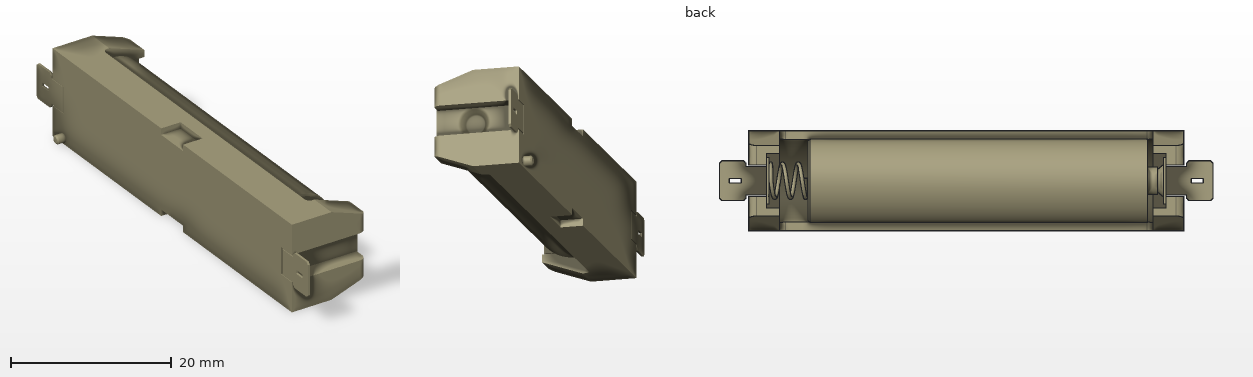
import cadquery as cq
import math


TOTAL_LENGTH = 61.5
LENGTH = 54.25
WIDTH = 12.5
HEIGHT = 11.15
TOP_WIDTH = 8.8
SLOPE_START_Y = 5.9
RIM_Y = 4.9
RIM_CORNER_RADIUS = 0.75
END_WALL = 3.9
END_EDGE_RADIUS = 1.0

OUTER_SLOT_WIDTH = 3.9
INNER_SLOT_WIDTH = 6.75

NOTCH_LENGTH = 5.0
NOTCH_DEPTH = 0.9
NOTCH_HEIGHT = 2.9

PEG_RADIUS = 0.6
PEG_LENGTH = 1.15
PEG_CHAMFER = 0.2
PEG_END_OFFSET = 2.4
PEG_SIDE_OFFSET = 0.85

BATTERY_RADIUS = 5.2
BATTERY_AXIS_Y = 5.8
BATTERY_CHAMFER = 0.3
BATTERY_MIN_X = -22.6
BATTERY_MAX_X = 19.75
NUB_RADIUS = 1.7

SHEET = 0.3
BEND_RADIUS = 0.5
PLATE_BACK_OFFSET = 2.5
PLATE_WIDTH = 5.85
PLATE_ABOVE_HOUSING = 0.1
NECK_WIDTH = 3.55
TAB_WIDTH = 5.0
TAB_LENGTH = 3.3
TAB_CORNER = 0.3
TAB_HOLE_LENGTH = 1.5
TAB_HOLE_WIDTH = 0.55
TAB_HOLE_OFFSET = 1.95
DISH_MOUTH_RADIUS = 1.9
DISH_FLOOR_RADIUS = 1.2
DISH_MOUTH_FILLET = 0.5
DISH_FLOOR_FILLET = 0.25
DISH_DEPTH = 0.8

CONTACT_AXIS_Y = 6.4
SPRING_OUTER_RADIUS = 2.35
WIRE_RADIUS = 0.25
SPRING_PITCH = 1.95
SPRING_START_ANGLE = -80.0
SPRING_EASE = 0.3
CLOSING_ANGLE = 0.6 * math.pi
SPRING_POINTS = 120

END_X = LENGTH / 2
WALL_INNER_X = END_X - END_WALL
PLATE_BACK_X = END_X - PLATE_BACK_OFFSET
PLATE_FRONT_X = PLATE_BACK_X + SHEET
FLOOR_Y = BATTERY_AXIS_Y - BATTERY_RADIUS


def box(x0, x1, y0, y1, width):
    """Box between two X and two Y values, centred on z = 0."""
    return cq.Workplane("XY").box(x1 - x0, y1 - y0, width).translate(((x0 + x1) / 2, (y0 + y1) / 2, 0))


def rod(x0, x1, y, radius):
    """Cylinder along X from x0 to x1 at height y."""
    return cq.Workplane("YZ", origin=(x0, y, 0)).circle(radius).extrude(x1 - x0)


def mirrored(body):
    """The +X feature repeated at the -X end."""
    return body.mirror("YZ")


def make_housing():
    body = (
        cq.Workplane("YZ", origin=(-END_X, 0, 0))
        .polyline([
            (0, -WIDTH / 2),
            (SLOPE_START_Y, -WIDTH / 2),
            (HEIGHT, -TOP_WIDTH / 2),
            (HEIGHT, TOP_WIDTH / 2),
            (SLOPE_START_Y, WIDTH / 2),
            (0, WIDTH / 2),
        ])
        .close()
        .extrude(LENGTH)
    )
    for side in ("<X", ">X"):
        body = body.faces(side).edges(">Y").fillet(END_EDGE_RADIUS)

    opening = box(-WALL_INNER_X, WALL_INNER_X, RIM_Y, HEIGHT + RIM_Y, WIDTH)
    body = body.cut(opening.edges("|Z and <Y").fillet(RIM_CORNER_RADIUS))

    body = body.cut(rod(-WALL_INNER_X, WALL_INNER_X, BATTERY_AXIS_Y, BATTERY_RADIUS))

    slots = box(PLATE_BACK_X, END_X, 0, HEIGHT, OUTER_SLOT_WIDTH).union(
        box(WALL_INNER_X, PLATE_FRONT_X, FLOOR_Y, HEIGHT, INNER_SLOT_WIDTH)
    )
    body = body.cut(slots).cut(mirrored(slots))

    for side in (-1, 1):
        notch = box(-NOTCH_LENGTH / 2, NOTCH_LENGTH / 2, 0, NOTCH_HEIGHT, 2 * NOTCH_DEPTH)
        body = body.cut(notch.translate((0, 0, side * WIDTH / 2)))

    peg = (
        cq.Workplane("XZ", origin=(PEG_END_OFFSET - END_X, 0, PEG_SIDE_OFFSET - WIDTH / 2))
        .circle(PEG_RADIUS)
        .extrude(PEG_LENGTH)
        .faces("<Y")
        .chamfer(PEG_CHAMFER)
    )
    return body.union(peg)


def make_battery():
    case = rod(BATTERY_MIN_X, BATTERY_MAX_X, BATTERY_AXIS_Y, BATTERY_RADIUS)
    case = case.faces(">X").chamfer(BATTERY_CHAMFER)
    nub_end_x = -PLATE_BACK_X + DISH_DEPTH
    return case.union(rod(nub_end_x, BATTERY_MIN_X, BATTERY_AXIS_Y, NUB_RADIUS))


def make_plain_contact():
    """Bent sheet contact at the +X end: upright plate, neck and solder tab."""
    tab_end_x = TOTAL_LENGTH / 2
    tab_start_x = tab_end_x - TAB_LENGTH
    plate_top_y = HEIGHT + PLATE_ABOVE_HOUSING

    strip = box(PLATE_BACK_X, tab_end_x, 0, SHEET, NECK_WIDTH).union(
        box(PLATE_BACK_X, PLATE_FRONT_X, 0, plate_top_y, NECK_WIDTH)
    )
    strip = strip.edges("|Z and <X and <Y").fillet(BEND_RADIUS)
    plate = box(PLATE_BACK_X, PLATE_FRONT_X, FLOOR_Y, plate_top_y, PLATE_WIDTH)
    tab = box(tab_start_x, tab_end_x, 0, SHEET, TAB_WIDTH).edges("|Y").chamfer(TAB_CORNER)
    hole_x = tab_end_x - TAB_HOLE_OFFSET
    hole = box(hole_x - TAB_HOLE_LENGTH / 2, hole_x + TAB_HOLE_LENGTH / 2, 0, SHEET, TAB_HOLE_WIDTH)
    return strip.union(plate).union(tab).cut(hole)


def dish_cone(x, widening):
    """Cone along +X from its mouth at x to its rounded floor, DISH_DEPTH further on."""
    return (
        cq.Workplane("YZ", origin=(x, CONTACT_AXIS_Y, 0))
        .circle(DISH_MOUTH_RADIUS + widening)
        .workplane(offset=DISH_DEPTH)
        .circle(DISH_FLOOR_RADIUS + widening)
        .loft()
        .faces(">X")
        .edges()
        .fillet(DISH_FLOOR_FILLET)
    )


def make_dished_contact():
    """Contact at the -X end, with a dish pressed in to meet the battery nub."""
    outside = dish_cone(-PLATE_BACK_X, SHEET / 2)
    hollow = dish_cone(-PLATE_FRONT_X, 0)
    body = mirrored(make_plain_contact()).union(outside).cut(hollow)
    mouth = cq.selectors.NearestToPointSelector((-PLATE_FRONT_X, CONTACT_AXIS_Y, 0))
    return body.edges(mouth).fillet(DISH_MOUTH_FILLET)


def eased_ramp(angle):
    """Zero for negative angles and equal to the angle for positive ones, rounded at the corner."""
    return (angle + math.hypot(angle, SPRING_EASE)) / 2


def make_spring():
    """Coil spring between the battery and the +X contact, with flat closing coils."""
    coil_radius = SPRING_OUTER_RADIUS - WIRE_RADIUS
    start_x = BATTERY_MAX_X + WIRE_RADIUS
    coil_length = PLATE_BACK_X - WIRE_RADIUS - start_x
    advance = SPRING_PITCH / (2 * math.pi)
    rise_start = math.radians(SPRING_START_ANGLE)
    rise_end = rise_start + coil_length / advance
    wire_start = rise_start - CLOSING_ANGLE
    wire_end = rise_end + CLOSING_ANGLE

    def wire_point(angle):
        """Point on the wire's centre line; angle zero lies toward +Y."""
        x = start_x + advance * (eased_ramp(angle - rise_start) - eased_ramp(angle - rise_end))
        y = CONTACT_AXIS_Y + coil_radius * math.cos(angle)
        return (x, y, coil_radius * math.sin(angle))

    path = cq.Workplane("XY").parametricCurve(wire_point, N=SPRING_POINTS, start=wire_start, stop=wire_end)
    section = cq.Plane(
        origin=wire_point(wire_start),
        xDir=(1, 0, 0),
        normal=(0, -math.sin(wire_start), math.cos(wire_start)),
    )
    return cq.Workplane(section).circle(WIRE_RADIUS).sweep(path, isFrenet=True)


housing = make_housing()
battery = make_battery()
dished_contact = make_dished_contact()
plain_contact = make_plain_contact()
spring = make_spring()

result = cq.Compound.makeCompound([
    housing.solids().val(),
    battery.solids().val(),
    dished_contact.solids().val(),
    plain_contact.solids().val(),
    spring.solids().val(),
])